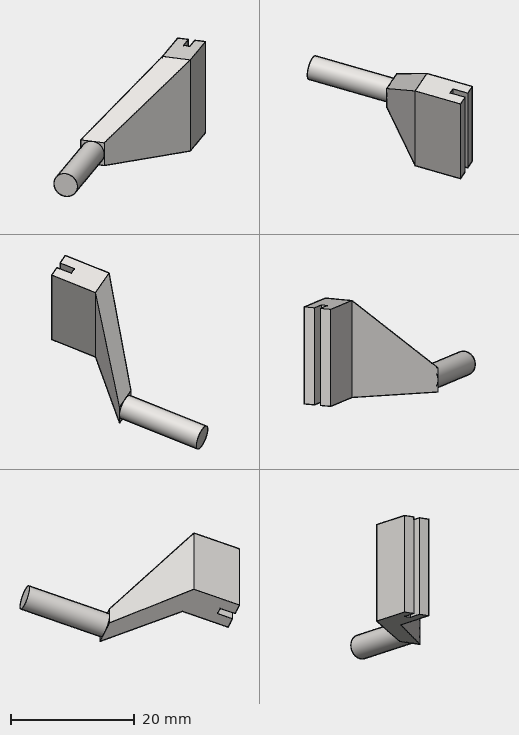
import cadquery as cq

total_width = 15.35
total_length = 32.0
total_height = 16.0

rod_diameter = 4.0
rod_length = 14.0

block_width = 4.75
block_length = 8.0
block_front = total_length - block_length
block_left = total_width - block_width

slot_width = 1.1
slot_depth = 2.62


def make_rod():
    radius = rod_diameter / 2
    profile = cq.Workplane("XZ").center(radius, radius).circle(radius)
    return profile.extrude(-rod_length)


def make_transition():
    """Join a square around the rod's end to the front face of the block."""
    square_center = rod_diameter / 2
    block_center_x = block_left + block_width / 2
    block_center_z = total_height / 2
    return (
        cq.Workplane("XZ", origin=(0, rod_length, 0))
        .center(square_center, square_center)
        .rect(rod_diameter, rod_diameter)
        .workplane(offset=-(block_front - rod_length))
        .center(block_center_x - square_center, block_center_z - square_center)
        .rect(block_width, total_height)
        .loft(ruled=True, combine=True)
    )


def make_block():
    block = cq.Workplane("XY").box(block_width, block_length, total_height, centered=False)
    slot = (
        cq.Workplane("XY")
        .box(slot_width, slot_depth, total_height, centered=False)
        .translate(((block_width - slot_width) / 2, block_length - slot_depth, 0))
    )
    return block.cut(slot).translate((block_left, block_front, 0))


result = make_rod().union(make_transition()).union(make_block())